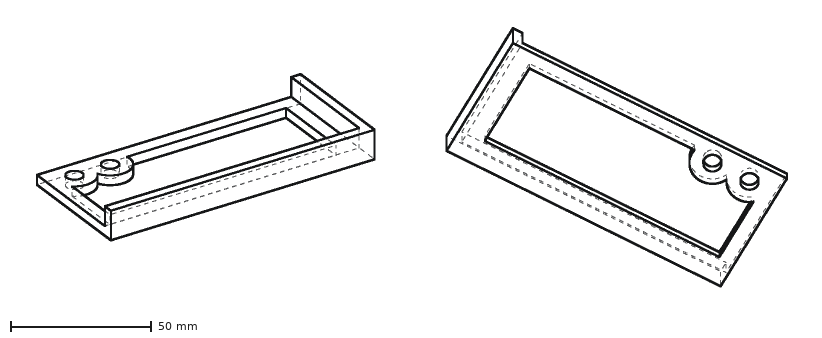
import cadquery as cq

width = 49.0
length = 111.5
height = 12.0

base_thickness = 4.0
wall_thickness = 4.0
rim_width = 6.0

eye_diameter = 16.5
hole_diameter = 6.6
eye_x = 7.5
first_eye_y = 11.2
eye_spacing = 15.0
eye_centers = [(eye_x, first_eye_y), (eye_x, first_eye_y + eye_spacing)]


def block(x, y, size_x, size_y, size_z):
    """Box standing on Z = 0 with its lower left corner at (x, y)."""
    return cq.Workplane("XY").box(size_x, size_y, size_z, centered=False).translate((x, y, 0))


def cylinders(diameter):
    """Base-thick cylinders at both screw positions."""
    return cq.Workplane("XY").pushPoints(eye_centers).circle(diameter / 2).extrude(base_thickness)


plate = block(0, 0, width, length, base_thickness)
window_width = width - wall_thickness - 2 * rim_width
window_length = length - wall_thickness - 2 * rim_width
window = block(rim_width, rim_width, window_width, window_length, base_thickness)
frame = plate.cut(window)

frame = frame.union(cylinders(eye_diameter).intersect(plate)).cut(cylinders(hole_diameter))

right_wall = block(width - wall_thickness, 0, wall_thickness, length, height)
back_wall = block(0, length - wall_thickness, width, wall_thickness, height)

result = frame.union(right_wall).union(back_wall)